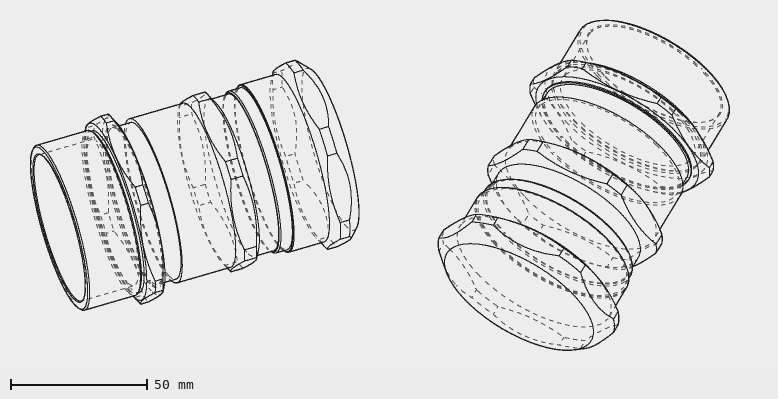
import cadquery as cq
import math

length = 106.0

bore_d = 56.0
mouth_d = 56.7
neck_d = 60.0
relief_d = 62.0
sleeve_d = 62.9
thread_d = 63.2
cap_skirt_d = 64.1

thread_end = 21.0
bore_depth = thread_end
lock_nut_start = 22.0
lock_nut_end = 29.2
lock_collar_end = 29.7
sleeve_start = 36.8
body_nut_start = 57.7
body_nut_end = 67.4
seal_collar_start = 74.9
cap_skirt_start = 79.9
cap_nut_start = 94.0

thread_chamfer = (thread_d - relief_d) / 2
collar_chamfer = 0.5
skirt_chamfer = 0.3
mouth_chamfer = (mouth_d - bore_d) / 2

large_flats = 68.0
body_flats = 63.9
lock_corner_d = 74.8
body_corner_d = 70.2
cap_corner_d = 73.4
nut_chamfer_angle = 30.0
cap_end_angle = 45.0


def turned(diameter, start, end, start_chamfer=0.0, end_chamfer=0.0):
    """Solid cylinder on the Y axis with optional 45 degree edge chamfers."""
    cylinder = cq.Workplane("XZ", origin=(0, start, 0)).circle(diameter / 2).extrude(start - end)
    if start_chamfer:
        cylinder = cylinder.faces("<Y").edges().chamfer(start_chamfer)
    if end_chamfer:
        cylinder = cylinder.faces(">Y").edges().chamfer(end_chamfer)
    return cylinder


def hex_nut(flats, corner_d, start, end, start_face_d, end_face_d, end_angle=nut_chamfer_angle):
    """Hexagon with flats facing +Z and -Z, its corners turned round and coned at both ends."""
    across_corners = flats / math.cos(math.radians(30))
    prism = cq.Workplane("XZ", origin=(0, start, 0)).polygon(6, across_corners).extrude(start - end)
    corner_r = corner_d / 2
    start_rise = (corner_d - start_face_d) / 2 * math.tan(math.radians(nut_chamfer_angle))
    end_rise = (corner_d - end_face_d) / 2 * math.tan(math.radians(end_angle))
    envelope = (
        cq.Workplane("XY")
        .moveTo(0, start)
        .lineTo(start_face_d / 2, start)
        .lineTo(corner_r, start + start_rise)
        .lineTo(corner_r, end - end_rise)
        .lineTo(end_face_d / 2, end)
        .lineTo(0, end)
        .close()
        .revolve(360, (0, 0, 0), (0, 1, 0))
    )
    return prism.intersect(envelope)


sections = [
    turned(thread_d, 0, thread_end, thread_chamfer, thread_chamfer),
    turned(relief_d, thread_end, lock_collar_end),
    turned(neck_d, lock_collar_end, sleeve_start),
    turned(sleeve_d, sleeve_start, body_nut_start),
    turned(neck_d, body_nut_end, seal_collar_start),
    turned(relief_d, seal_collar_start, cap_skirt_start, collar_chamfer),
    turned(cap_skirt_d, cap_skirt_start, cap_nut_start, skirt_chamfer),
]

lock_face_d = 67.7
nuts = [
    hex_nut(large_flats, lock_corner_d, lock_nut_start, lock_nut_end, lock_face_d, lock_face_d),
    hex_nut(body_flats, body_corner_d, body_nut_start, body_nut_end, sleeve_d, neck_d),
    hex_nut(large_flats, cap_corner_d, cap_nut_start, length, cap_skirt_d, relief_d, cap_end_angle),
]

result = sections[0]
for piece in sections[1:] + nuts:
    result = result.union(piece)

bore = turned(bore_d, 0, bore_depth)
mouth = turned(mouth_d, -mouth_chamfer, mouth_chamfer, 0, mouth_chamfer)
result = result.cut(bore).cut(mouth)